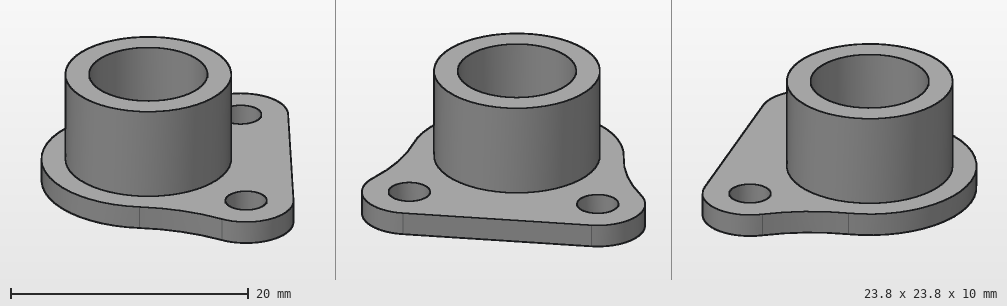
import cadquery as cq
import math

total_height = 10.0
flange_thickness = 2.0
bore_diameter = 10.0
hub_diameter = 14.0
flange_radius = 9.0
ear_radius = 4.0
ear_hole_diameter = 3.5
waist_radius = 16.0

ear_long_offset = 10.82
ear_short_offset = 3.39
upper_ear = cq.Vector(ear_short_offset, ear_long_offset)
lower_ear = cq.Vector(ear_long_offset, -ear_short_offset)
bore_center = cq.Vector(0, 0)


def toward(start, target, distance):
    """Point at a distance from start in the direction of target."""
    return start + (target - start).normalized() * distance


def waist_center(ear, side):
    """Center of the circle externally tangent to flange and ear; side is +1 or -1."""
    to_flange = flange_radius + waist_radius
    to_ear = ear_radius + waist_radius
    spacing = ear.Length
    along = (to_flange**2 - to_ear**2 + spacing**2) / (2 * spacing)
    across = math.sqrt(to_flange**2 - along**2)
    direction = ear.normalized()
    normal = cq.Vector(-direction.y, direction.x)
    return direction * along + normal * (side * across)


def waist_points(ear, side):
    """Flange end, middle and ear end of one concave arc."""
    center = waist_center(ear, side)
    flange_end = toward(bore_center, center, flange_radius)
    ear_end = toward(ear, center, ear_radius)
    middle = toward(center, (flange_end + ear_end) * 0.5, waist_radius)
    return flange_end, middle, ear_end


def ear_middle(ear, start, end):
    """Outer midpoint of the ear arc running from start to end."""
    return toward(ear, (start + end) * 0.5, ear_radius)


def make_flange():
    upper_flange_end, upper_waist, upper_ear_end = waist_points(upper_ear, 1)
    lower_flange_end, lower_waist, lower_ear_end = waist_points(lower_ear, -1)

    axis = (upper_ear + lower_ear).normalized()
    upper_tangent = upper_ear + axis * ear_radius
    lower_tangent = lower_ear + axis * ear_radius

    return (
        cq.Workplane("XY")
        .moveTo(upper_flange_end.x, upper_flange_end.y)
        .threePointArc(upper_waist, upper_ear_end)
        .threePointArc(ear_middle(upper_ear, upper_ear_end, upper_tangent), upper_tangent)
        .lineTo(lower_tangent.x, lower_tangent.y)
        .threePointArc(ear_middle(lower_ear, lower_tangent, lower_ear_end), lower_ear_end)
        .threePointArc(lower_waist, lower_flange_end)
        .threePointArc(axis * -flange_radius, upper_flange_end)
        .close()
        .extrude(flange_thickness)
    )


def make_cylinder(diameter, height, center=bore_center):
    return cq.Workplane("XY").center(center.x, center.y).circle(diameter / 2).extrude(height)


result = make_flange().union(make_cylinder(hub_diameter, total_height))
result = result.cut(make_cylinder(bore_diameter, total_height))
for ear_center in (upper_ear, lower_ear):
    result = result.cut(make_cylinder(ear_hole_diameter, flange_thickness, ear_center))